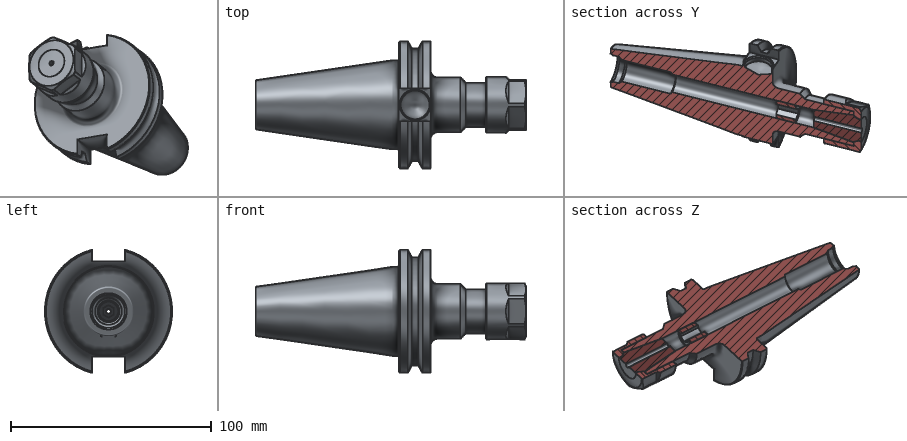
import cadquery as cq
import math

total_length = 134.9

gauge_diameter = 44.5
taper_length = 68.2
taper_ratio = 7 / 24
taper_half_angle = math.atan(taper_ratio / 2)
taper_end_diameter = gauge_diameter - taper_length * taper_ratio
taper_end_fillet = 1.0

flange_start = 71.3
flange_width = 15.9
flange_end = flange_start + flange_width
flange_diameter = 63.5
flange_front_chamfer = 0.7
flange_rear_chamfer = 0.4
flange_root_fillet = 0.4
groove_center = 79.4
groove_floor_diameter = 56.4
groove_floor_width = 3.2
groove_half_angle = 30
slot_width = 16.3
upper_slot_floor = 25.0
lower_slot_floor = 22.7
dimple_diameter = 14.3
dimple_rim_width = 0.5
dimple_rim_depth = 0.8
dimple_depth = 3.1
dimple_point_angle = 140

neck_diameter = 27.5
neck_fillet = 3.1
neck_end = 102.0
nose_diameter = 22.3
nose_end = 130.8
neck_chamfer = (neck_diameter - nose_diameter) / 2

bore_mouth_diameter = 18.2
bore_mouth_half_angle = 30
counterbore_diameter = 16.5
counterbore_depth = 4.6
counterbore_half_angle = 45
thread_diameter = 13.4
thread_depth = 32.4
screw_diameter = 10.9
drill_half_angle = 59

screw_start = 89.0
screw_length = 10.8
screw_chamfer = 0.7
socket_across_flats = 5.4
socket_sides = 6

collet_diameter = 17.0
collet_seat_half_angle = 8
collet_tip_diameter = 14.3
collet_tip_half_angle = 30
collet_bore = 2.3

nut_diameter = 28.0
nut_start = 114.6
nut_rear_chamfer = 0.5
nut_across_flats = 25.1
nut_flat_start = 126.1
nut_face_diameter = 24.0
nut_face_chamfer_length = 1.0
nut_flat_count = 6


def cone_length(large_diameter, small_diameter, half_angle):
    """Axial length of a cone between two diameters."""
    return (large_diameter - small_diameter) / 2 / math.tan(math.radians(half_angle))


groove_depth = (flange_diameter - groove_floor_diameter) / 2
groove_flank = groove_depth * math.tan(math.radians(groove_half_angle))
seat_length = cone_length(collet_diameter, screw_diameter, collet_seat_half_angle)
collet_start = nose_end - seat_length
tip_length = cone_length(collet_diameter, collet_tip_diameter, collet_tip_half_angle)


def revolve_profile(points):
    """Turn a closed (x, radius) outline around the X axis."""
    outline = cq.Workplane("XY").polyline(points).close()
    return outline.revolve(360, (0, 0, 0), (1, 0, 0))


def holder_blank():
    """Solid of revolution: taper, grooved flange, neck and nose."""
    gauge_radius = gauge_diameter / 2
    flange_radius = flange_diameter / 2
    floor_radius = groove_floor_diameter / 2
    neck_radius = neck_diameter / 2
    nose_radius = nose_diameter / 2
    floor_start = groove_center - groove_floor_width / 2
    floor_end = groove_center + groove_floor_width / 2
    round_end = taper_end_fillet * (1 - math.sin(taper_half_angle))
    round_radius = taper_end_diameter / 2 + round_end * math.tan(taper_half_angle)
    outline = (
        cq.Workplane("XY")
        .moveTo(0, 0)
        .lineTo(0, round_radius - taper_end_fillet * math.cos(taper_half_angle))
        .radiusArc((round_end, round_radius), taper_end_fillet)
        .lineTo(taper_length, gauge_radius)
        .lineTo(flange_start - flange_root_fillet, gauge_radius)
        .radiusArc((flange_start, gauge_radius + flange_root_fillet), -flange_root_fillet)
        .lineTo(flange_start, flange_radius - flange_front_chamfer)
        .lineTo(flange_start + flange_front_chamfer, flange_radius)
        .lineTo(floor_start - groove_flank, flange_radius)
        .lineTo(floor_start, floor_radius)
        .lineTo(floor_end, floor_radius)
        .lineTo(floor_end + groove_flank, flange_radius)
        .lineTo(flange_end - flange_rear_chamfer, flange_radius)
        .lineTo(flange_end, flange_radius - flange_rear_chamfer)
        .lineTo(flange_end, neck_radius + neck_fillet)
        .radiusArc((flange_end + neck_fillet, neck_radius), -neck_fillet)
        .lineTo(neck_end, neck_radius)
        .lineTo(neck_end + neck_chamfer, nose_radius)
        .lineTo(nose_end, nose_radius)
        .lineTo(nose_end, 0)
        .close()
    )
    return outline.revolve(360, (0, 0, 0), (1, 0, 0))


def holder_bore():
    """Stepped bore running from the small taper end to the collet seat at the nose."""
    mouth_end = cone_length(bore_mouth_diameter, counterbore_diameter, bore_mouth_half_angle)
    cone_end = counterbore_depth + cone_length(
        counterbore_diameter, thread_diameter, counterbore_half_angle
    )
    drill_end = thread_depth + cone_length(thread_diameter, screw_diameter, drill_half_angle)
    return revolve_profile([
        (0, 0),
        (0, bore_mouth_diameter / 2),
        (mouth_end, counterbore_diameter / 2),
        (counterbore_depth, counterbore_diameter / 2),
        (cone_end, thread_diameter / 2),
        (thread_depth, thread_diameter / 2),
        (drill_end, screw_diameter / 2),
        (collet_start, screw_diameter / 2),
        (nose_end, collet_diameter / 2),
        (nose_end, 0),
    ])


def drive_slot(floor_height, side):
    """Slot through the flange; side is +1 above the axis and -1 below it."""
    height = flange_diameter
    slot = cq.Workplane("XY").box(flange_width, slot_width, height, centered=(False, True, True))
    return slot.translate((flange_start, 0, side * (floor_height + height / 2)))


def slot_dimple():
    """Chamfered blind hole with a conical bottom in the floor of the upper slot."""
    radius = dimple_diameter / 2
    point_depth = radius / math.tan(math.radians(dimple_point_angle / 2))
    outline = cq.Workplane("XZ").polyline([
        (0, 0),
        (radius + dimple_rim_width, 0),
        (radius, -dimple_rim_depth),
        (radius, -dimple_depth),
        (0, -dimple_depth - point_depth),
    ]).close()
    dimple = outline.revolve(360, (0, 0, 0), (0, 1, 0))
    return dimple.translate((groove_center, 0, upper_slot_floor))


def make_holder():
    return (
        holder_blank()
        .cut(holder_bore())
        .cut(drive_slot(upper_slot_floor, 1))
        .cut(drive_slot(lower_slot_floor, -1))
        .cut(slot_dimple())
    )


def make_stop_screw():
    radius = screw_diameter / 2
    screw = revolve_profile([
        (0, 0),
        (0, radius - screw_chamfer),
        (screw_chamfer, radius),
        (screw_length - screw_chamfer, radius),
        (screw_length, radius - screw_chamfer),
        (screw_length, 0),
    ])
    socket_across_corners = socket_across_flats / math.cos(math.pi / socket_sides)
    socket = (
        cq.Workplane("YZ")
        .polygon(socket_sides, socket_across_corners)
        .extrude(screw_length)
        .rotate((0, 0, 0), (1, 0, 0), 180 / socket_sides)
    )
    return screw.cut(socket).translate((screw_start, 0, 0))


def make_collet():
    return revolve_profile([
        (collet_start, collet_bore / 2),
        (collet_start, screw_diameter / 2),
        (nose_end, collet_diameter / 2),
        (nose_end + tip_length, collet_tip_diameter / 2),
        (total_length, collet_tip_diameter / 2),
        (total_length, collet_bore / 2),
    ])


def nut_flat_cutter():
    """Material removed for the flat on the -Y side, with a 45 degree ramp at its rear end."""
    apothem = nut_across_flats / 2
    reach = nut_diameter / 2
    cutter = cq.Workplane("XY").polyline([
        (nut_flat_start, -apothem),
        (total_length, -apothem),
        (total_length, -apothem - reach),
        (nut_flat_start - reach, -apothem - reach),
    ]).close()
    return cutter.extrude(reach, both=True)


def make_nut():
    radius = nut_diameter / 2
    nut = revolve_profile([
        (nut_start, nose_diameter / 2),
        (nut_start, radius - nut_rear_chamfer),
        (nut_start + nut_rear_chamfer, radius),
        (total_length - nut_face_chamfer_length, radius),
        (total_length, nut_face_diameter / 2),
        (total_length, collet_tip_diameter / 2),
        (nose_end + tip_length, collet_tip_diameter / 2),
        (nose_end, collet_diameter / 2),
        (nose_end, nose_diameter / 2),
    ])
    flat_cutter = nut_flat_cutter()
    for index in range(nut_flat_count):
        nut = nut.cut(flat_cutter.rotate((0, 0, 0), (1, 0, 0), index * 360 / nut_flat_count))
    return nut


holder = make_holder()
stop_screw = make_stop_screw()
collet = make_collet()
nut = make_nut()

result = cq.Compound.makeCompound([holder.val(), stop_screw.val(), collet.val(), nut.val()])